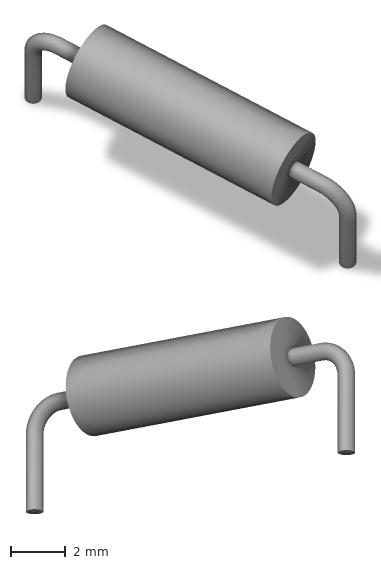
import cadquery as cq

overall_length = 14.36
body_diameter = 3.0
body_length = 8.99
lead_diameter = 0.65
bend_radius = 1.1
overall_height = 5.55

body_end = body_length / 2
lead_leg_x = (overall_length - lead_diameter) / 2
bend_start_x = lead_leg_x - bend_radius
lead_tip_z = body_diameter / 2 - overall_height


def make_body():
    """Cylindrical component body lying along X."""
    end_face = cq.Workplane("YZ", origin=(-body_end, 0, 0)).circle(body_diameter / 2)
    return end_face.extrude(body_length)


def make_lead(side):
    """Round wire from a body end face, bent down to its tip; side is -1 or +1."""
    centreline = (
        cq.Workplane("XZ")
        .moveTo(side * body_end, 0)
        .lineTo(side * bend_start_x, 0)
        .tangentArcPoint((side * lead_leg_x, -bend_radius), relative=False)
        .lineTo(side * lead_leg_x, lead_tip_z)
    )
    wire_section = cq.Workplane("YZ", origin=(side * body_end, 0, 0)).circle(lead_diameter / 2)
    return wire_section.sweep(centreline)


body = make_body()
leads = [make_lead(side) for side in (-1, 1)]

result = cq.Compound.makeCompound([body.val(), *[lead.val() for lead in leads]])